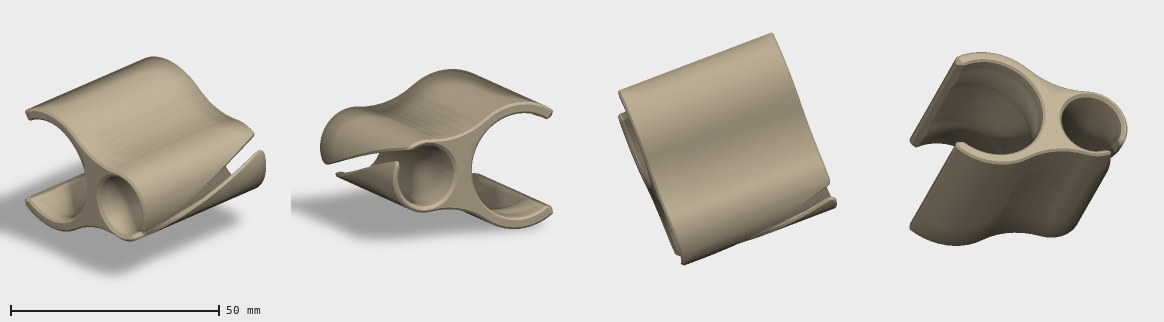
import cadquery as cq
import math

total_length = 43.0
depth = 40.0
big_radius = 15.6
bore_radius = 12.8
small_radius = 9.0
small_bore_radius = 7.5
ring_spacing = 25.0
web_radius = 20.0

ridge_start = 3.3
ridge_width = 8.1
ridge_height = 0.3

slit_width = 3.0
slit_turn = 90.0
slit_corner_radius = 1.5
slit_sections_per_half = 6
slit_overrun = 0.45

end_chamfer = 0.5
lip_chamfer = 1.0
lip_inner_chamfer = 1.38
small_bore_chamfer = 0.75

half_depth = depth / 2
crest_radius = bore_radius - ridge_height
lip_reach = total_length - ring_spacing - small_radius
lip_angle = math.asin(lip_reach / (big_radius - lip_chamfer))
tolerance = 0.005


def polar(radius, angle):
    """Point in the XZ plane; the angle runs from +Z towards -X."""
    return (-radius * math.sin(angle), radius * math.cos(angle))


def mirrored(point):
    return (point[0], -point[1])


def plain_body():
    """Open big ring and solid small disc, joined by a web with concave arcs."""
    to_big = big_radius + web_radius
    to_small = small_radius + web_radius
    web_x = (to_big**2 - to_small**2 + ring_spacing**2) / (2 * ring_spacing)
    web_z = math.sqrt(to_big**2 - web_x**2)
    big_share = big_radius / to_big
    small_share = small_radius / to_small
    big_tangent = (web_x * big_share, web_z * big_share)
    small_tangent = (ring_spacing + (web_x - ring_spacing) * small_share, web_z * small_share)
    web_middle = (web_x, web_z - web_radius)
    lip_outer = polar(big_radius, lip_angle)
    lip_inner = polar(crest_radius, lip_angle)
    return (
        cq.Workplane("XZ")
        .moveTo(*lip_inner)
        .lineTo(*lip_outer)
        .threePointArc((0, big_radius), big_tangent)
        .threePointArc(web_middle, small_tangent)
        .threePointArc((ring_spacing + small_radius, 0), mirrored(small_tangent))
        .threePointArc(mirrored(web_middle), mirrored(big_tangent))
        .threePointArc((0, -big_radius), mirrored(lip_outer))
        .lineTo(*mirrored(lip_inner))
        .threePointArc((crest_radius, 0), lip_inner)
        .close()
        .extrude(half_depth, both=True)
    )


def ridged_bore():
    """Cutter for the big bore: a cylinder with two round waists that leave the ridges."""
    outer_end = half_depth - ridge_start
    inner_end = outer_end - ridge_width
    middle = outer_end - ridge_width / 2
    return (
        cq.Workplane("XY")
        .moveTo(0, -half_depth)
        .lineTo(bore_radius, -half_depth)
        .lineTo(bore_radius, -outer_end)
        .threePointArc((crest_radius, -middle), (bore_radius, -inner_end))
        .lineTo(bore_radius, inner_end)
        .threePointArc((crest_radius, middle), (bore_radius, outer_end))
        .lineTo(bore_radius, half_depth)
        .lineTo(0, half_depth)
        .close()
        .revolve(360, (0, 0, 0), (0, 1, 0))
    )


def small_bore():
    """Cutter for the small bore; its seam faces the web, away from the slit."""
    return (
        cq.Workplane("XZ")
        .circle(small_bore_radius)
        .extrude(half_depth, both=True)
        .rotate((0, 0, 0), (0, 1, 0), 180)
        .translate((ring_spacing, 0, 0))
    )


def slit():
    """Cutter for the slit: it turns evenly about the small ring's axis, with sides square to the wall."""
    reach = half_depth + slit_overrun
    turn_per_length = math.radians(slit_turn) / depth
    section_width = slit_width * math.hypot(1, turn_per_length * small_radius)
    sections = []
    for step in range(-slit_sections_per_half, slit_sections_per_half + 1):
        y = reach * step / slit_sections_per_half
        angle = turn_per_length * y
        plane = cq.Plane(
            origin=(ring_spacing, y, 0),
            xDir=(math.cos(angle), 0, math.sin(angle)),
            normal=(0, -1, 0),
        )
        section = cq.Workplane(plane).center(small_radius, 0).rect(small_radius, section_width)
        sections.append(section.wires().val())
    return cq.Workplane(obj=cq.Solid.makeLoft(sections))


def is_near(value, target):
    return abs(value - target) < tolerance


def lies_on_wall(edge, axis_x, radius):
    """True when an edge runs on the cylinder of this radius about the ring axis at axis_x."""
    points = [edge.startPoint(), edge.positionAt(0.5), edge.endPoint()]
    return all(is_near(math.hypot(point.x - axis_x, point.z), radius) for point in points)


def small_ring_rim(body, radius):
    """Closed rim of a small ring wall: its end arcs, the slit sides and the rounded slit corners."""
    edges = body.edges("not |Y").vals()
    return [edge for edge in edges if lies_on_wall(edge, ring_spacing, radius)]


def end_arcs(body, *radii):
    """Arcs of the given radii on the two end faces."""
    arcs = body.faces("<Y or >Y").edges("%CIRCLE").vals()
    return [arc for arc in arcs if any(is_near(arc.radius(), radius) for radius in radii)]


def low_front_edges(body):
    """Straight edges at the -Y end of the lower lip, which gets only the light end bevel."""
    edges = body.faces("<Y").edges("%LINE").vals()
    return [edge for edge in edges if edge.Center().x < 0 and edge.Center().z < 0]


def crest_lines(body):
    """The two long edges where the lip ends meet the bore crest."""
    edges = body.edges("|Y").vals()
    return [edge for edge in edges if edge.Center().x < 0 and lies_on_wall(edge, 0, crest_radius)]


def chamfer_lips(body):
    """Bevel the lip ends: the outer and end edges first, then the deeper bevel along the bore."""
    spared = low_front_edges(body) + crest_lines(body)
    lip_edges = [edge for edge in body.edges("%LINE").vals() if edge.Center().x < 0]
    heavy_edges = [edge for edge in lip_edges if not any(edge.isSame(other) for other in spared)]
    body = body.newObject(heavy_edges).chamfer(lip_chamfer)
    return body.newObject(crest_lines(body)).chamfer(lip_inner_chamfer)


def round_slit_corners(body):
    """Round the four corners where the slit opens onto the end faces."""
    edges = body.faces("<Y or >Y").edges("%LINE or %BSPLINE").vals()
    corners = [edge for edge in edges if edge.Center().x > ring_spacing]
    return body.newObject(corners).fillet(slit_corner_radius)


def chamfer_rims(body):
    """Bevel the small bore's rim, then all the other rims of the end faces and the slit."""
    body = body.newObject(small_ring_rim(body, small_bore_radius)).chamfer(small_bore_chamfer)
    rims = small_ring_rim(body, small_radius)
    rims += end_arcs(body, big_radius, web_radius, bore_radius)
    rims += low_front_edges(body)
    return body.newObject(rims).chamfer(end_chamfer)


body = chamfer_lips(plain_body())
body = body.cut(ridged_bore()).cut(small_bore()).cut(slit())
result = chamfer_rims(round_slit_corners(body))